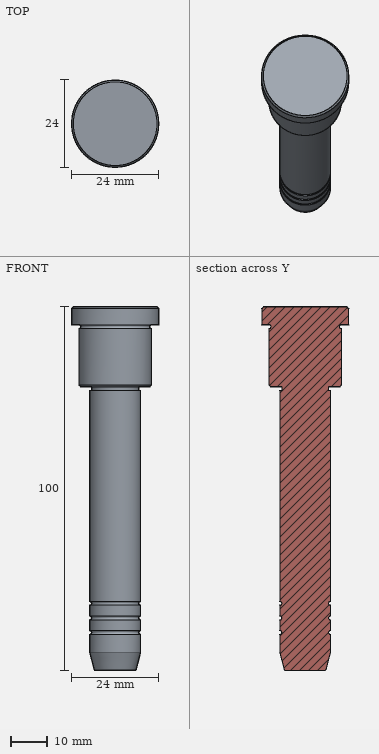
import cadquery as cq
import math

length = 100.0
edge_chamfer = 0.5

head_radius = 12.0
head_height = 5.0
shoulder_radius = 10.0
shoulder_length = 17.0

shank_radius = 7.0
shank_undercut_radius = 6.5
shank_undercut_width = 1.0

groove_radius = 0.5
groove_pitch = 4.0
groove_count = 3
lowest_groove_z = 10.5

lead_height = 5.0
tip_radius = 5.7
tip_fillet = 0.5

head_bottom = length - head_height
shoulder_bottom = head_bottom - shoulder_length
shank_top = shoulder_bottom - shank_undercut_width


def revolve_profile(points):
    """Revolve a closed (radius, z) outline around the Z axis."""
    return cq.Workplane("XZ").polyline(points).close().revolve(360, (0, 0), (0, 1))


def round_groove(rim_radius, center_z):
    """Ring-shaped cutter whose semicircular section is two quarter arcs."""
    arc_offset = groove_radius * math.sqrt(0.5)
    return (
        cq.Workplane("XZ")
        .moveTo(rim_radius, center_z - groove_radius)
        .threePointArc(
            (rim_radius - arc_offset, center_z - arc_offset),
            (rim_radius - groove_radius, center_z),
        )
        .threePointArc(
            (rim_radius - arc_offset, center_z + arc_offset),
            (rim_radius, center_z + groove_radius),
        )
        .close()
        .revolve(360, (0, 0), (0, 1))
    )


result = revolve_profile([
    (0, 0),
    (tip_radius, 0),
    (shank_radius, lead_height),
    (shank_radius, shank_top),
    (shank_undercut_radius, shank_top),
    (shank_undercut_radius, shoulder_bottom),
    (shoulder_radius - edge_chamfer, shoulder_bottom),
    (shoulder_radius, shoulder_bottom + edge_chamfer),
    (shoulder_radius, head_bottom),
    (head_radius, head_bottom),
    (head_radius, length - edge_chamfer),
    (head_radius - edge_chamfer, length),
    (0, length),
])
result = result.faces("<Z").edges().fillet(tip_fillet)

result = result.cut(round_groove(shoulder_radius, head_bottom - groove_radius))

for index in range(groove_count):
    result = result.cut(round_groove(shank_radius, lowest_groove_z + index * groove_pitch))